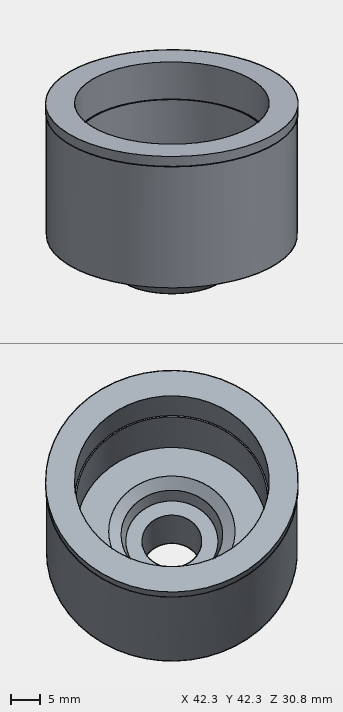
import cadquery as cq

total_height = 30.8
nose_height = 6.47

lip_radius = 21.15
lip_height = 1.8
lip_taper_height = 0.15

body_radius = 21.02
nose_top_radius = 15.75
nose_tip_radius = 9.5

mouth_radius = 16.3
mouth_depth = 6.85
bore_radius = 16.05
bore_depth = 17.5

funnel_top_radius = 10.58
funnel_bottom_radius = 8.5
funnel_depth = 1.2
seat_radius = 7.7
seat_depth = 2.25
outlet_radius = 5.0

lip_bottom = total_height - lip_height
body_top = lip_bottom - lip_taper_height
mouth_floor = total_height - mouth_depth
bore_floor = total_height - bore_depth
funnel_bottom = bore_floor - funnel_depth
seat_floor = funnel_bottom - seat_depth


def revolve_about_z(section):
    """Turn a half section of (radius, height) points into a round solid, starting at -Y."""
    points = [(-radius, height) for radius, height in section]
    return cq.Workplane("YZ").polyline(points).close().revolve(360, (0, 0, 0), (0, 1, 0))


outside_profile = [
    (0, 0),
    (nose_tip_radius, 0),
    (nose_top_radius, nose_height),
    (body_radius, nose_height),
    (body_radius, body_top),
    (lip_radius, lip_bottom),
    (lip_radius, total_height),
    (0, total_height),
]

cavity_profile = [
    (0, 0),
    (outlet_radius, 0),
    (outlet_radius, seat_floor),
    (seat_radius, seat_floor),
    (funnel_bottom_radius, funnel_bottom),
    (funnel_top_radius, bore_floor),
    (bore_radius, bore_floor),
    (bore_radius, mouth_floor),
    (mouth_radius, mouth_floor),
    (mouth_radius, total_height),
    (0, total_height),
]

result = revolve_about_z(outside_profile).cut(revolve_about_z(cavity_profile))